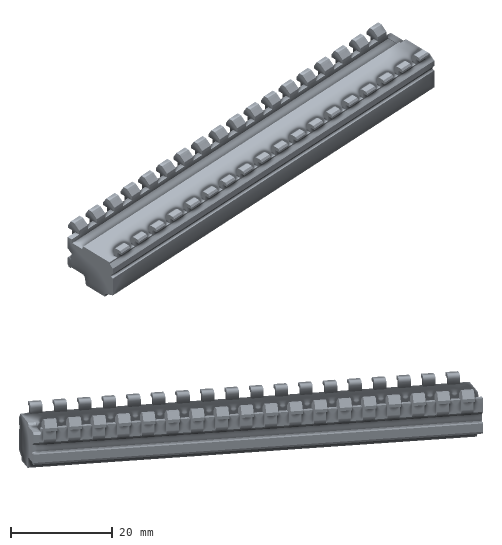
import cadquery as cq

total_length = 91.5
back_y = total_length / 2
front_y = -back_y

left_x = 2.0
right_x = 14.5
top_z = 9.4
top_right_x = 13.5
channel_z = 8.6
wall_right_x = 3.1
left_undercut_z = 6.6

stop_length = 1.6
stop_floor_z = 8.7
main_length = total_length - stop_length

contact_count = 18
contact_width = 2.5
contact_row_length = 85.0
contact_pitch = contact_row_length / (contact_count - 1)
first_contact_offset = 3.1
contact_top_z = 11.5
contact_tail_radius = 0.9
hook_left_x = 12.5
hook_right_x = 14.7
hook_bend_radius = 0.9
hook_underside_z = 10.7

lower_section = [
    (left_x, left_undercut_z),
    (3.0, 5.9),
    (3.0, 4.5),
    (2.7, 4.1),
    (2.4, 4.4),
    (2.1, 4.4),
    (left_x, 4.2),
    (left_x, 2.5),
    (2.3, 2.0),
    (2.8, 2.0),
    (3.0, 2.3),
    (6.3, 2.3),
    (6.7, 1.9),
    (7.0, 0),
    (12.3, 0),
    (12.3, 0.7),
    (right_x, 1.6),
    (right_x, 5.9),
    (13.9, 6.0),
    (14.2, 6.8),
    (right_x, 6.95),
    (right_x, 8.3),
    (top_right_x, 9.1),
]
main_top = [
    (top_right_x, top_z),
    (6.3, top_z),
    (5.95, channel_z),
    (3.3, channel_z),
    (wall_right_x, top_z),
    (left_x, top_z),
]
stop_top = [
    (13.2, top_z),
    (6.8, top_z),
    (6.3, 9.1),
    (6.1, stop_floor_z),
    (2.5, stop_floor_z),
    (left_x, 8.2),
]


def section_plane(start_y):
    """XZ plane at start_y; a negative extrusion from it runs toward +Y."""
    return cq.Workplane("XZ", origin=(0, start_y, 0))


def body_stretch(top_points, start_y, length):
    """Stretch of the body with the given top outline."""
    return section_plane(start_y).polyline(lower_section + top_points).close().extrude(-length)


def pin(start_y):
    """Contact that hooks over the left wall, with a rounded tail on its outer face."""
    stem_left_x = left_x - contact_tail_radius
    outline = (
        section_plane(start_y)
        .moveTo(left_x, left_undercut_z)
        .lineTo(left_x, top_z)
        .lineTo(wall_right_x, top_z)
        .lineTo(wall_right_x, 10.4)
        .lineTo(2.1, 11.3)
        .lineTo(1.7, contact_top_z)
        .lineTo(0.8, contact_top_z)
        .lineTo(0, 10.1)
        .lineTo(0, top_z)
        .lineTo(stem_left_x, top_z)
        .lineTo(stem_left_x, left_undercut_z + contact_tail_radius)
        .radiusArc((left_x, left_undercut_z), -contact_tail_radius)
    )
    return outline.close().extrude(-contact_width)


def hook(start_y):
    """Contact that rises from the right edge of the top and bends outward."""
    outline = (
        section_plane(start_y)
        .moveTo(hook_left_x, top_z)
        .lineTo(hook_left_x, contact_top_z - hook_bend_radius)
        .radiusArc((hook_left_x + hook_bend_radius, contact_top_z), hook_bend_radius)
        .lineTo(14.4, contact_top_z)
        .lineTo(hook_right_x, 11.2)
        .lineTo(hook_right_x, hook_underside_z)
        .lineTo(13.7, hook_underside_z)
        .lineTo(top_right_x, 10.4)
        .lineTo(top_right_x, top_z)
    )
    return outline.close().extrude(-contact_width)


result = body_stretch(main_top, front_y, main_length)
result = result.union(body_stretch(stop_top, front_y + main_length, stop_length))
for index in range(contact_count):
    center_y = back_y - first_contact_offset - index * contact_pitch
    contact_front_y = center_y - contact_width / 2
    result = result.union(pin(contact_front_y)).union(hook(contact_front_y))